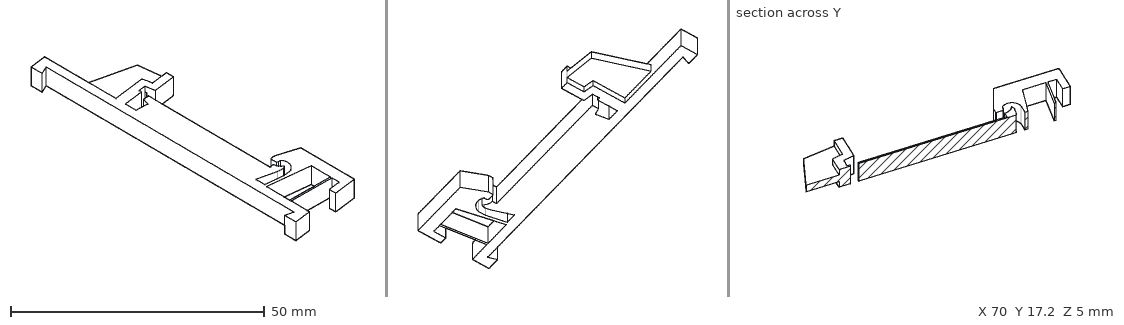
import cadquery as cq

length = 70.0
height = 17.2
thickness = 5.0

base_length = 69.8
base_bottom = 1.95
base_top = 4.05
foot_tip_width = 2.95
foot_root_width = 2.25

post_back = 18.75
post_root_front = 21.3
post_neck_front = 20.65
post_head_back = 21.15
post_head_front = 23.0
post_top = 16.45
post_shoulder_back = 11.8
post_head_back_bottom = 12.3
post_head_bottom = 11.0
post_neck_top = 10.6
web_thickness = 1.95
web_foot_x = 10.0
web_corner_x = 14.2
web_corner_y = 15.6

body_top = 8.9
undercut_root_x = 24.1
undercut_deep_x = 24.6
undercut_deep_y = 7.0
undercut_lip_y = 7.4
lip_start_x = 55.1
lip_start_y = 9.95
lip_middle = (56.35, 10.3)
lip_tip = (57.05, 11.05)
lip_back = (57.4, 10.3)
lip_neck_x = 57.1
slot_floor = 4.3
slot_floor_left = 55.45

arm_left = 57.8
arm_right = 58.45
arm_bend_x = 58.9
socket_side_y = 10.5
socket_arc_middle = (58.05, 11.8)
socket_left = 55.4
socket_left_top = 11.75
socket_left_bottom = 11.2
jaw_right = 55.1
jaw_bottom = 10.8
jaw_left = 53.55
jaw_chamfer = 0.15
jaw_slope_start_y = 12.0
head_top_left = 55.9
head_underside = 14.55
head_arm_right = 61.0
grip_left = 68.3
grip_bottom = 11.6
strip_bottom_left = 64.55
strip_top_left = 66.0
strip_width = 0.4


def extrude_centred(outline, depth):
    """Extrude a closed XY outline symmetrically about the mid-thickness plane."""
    return outline.extrude(depth / 2, both=True)


def plate(points, depth=thickness):
    return extrude_centred(cq.Workplane("XY").polyline(points).close(), depth)


def make_base():
    return plate([
        (0, 0),
        (foot_tip_width, 0),
        (foot_root_width, base_bottom),
        (base_length - foot_root_width, base_bottom),
        (base_length - foot_tip_width, 0),
        (base_length, 0),
        (base_length, base_top),
        (0, base_top),
    ])


def make_post():
    return plate([
        (post_back, base_bottom),
        (post_root_front, base_bottom),
        (post_root_front, body_top),
        (post_neck_front, body_top),
        (post_neck_front, post_neck_top),
        (post_head_front, post_head_bottom),
        (post_head_front, post_top),
        (post_head_back, post_top),
        (post_head_back, post_head_back_bottom),
        (post_back, post_shoulder_back),
    ])


def make_web():
    return plate([
        (web_foot_x, base_top),
        (web_corner_x, web_corner_y),
        (post_head_back, post_top),
        (post_head_back, post_neck_top),
        (post_neck_front, post_neck_top),
        (post_neck_front, base_top),
    ], web_thickness)


def make_body():
    outline = (
        cq.Workplane("XY")
        .moveTo(undercut_root_x, base_bottom)
        .lineTo(undercut_root_x, base_top)
        .lineTo(undercut_deep_x, undercut_deep_y)
        .lineTo(post_head_front, undercut_lip_y)
        .lineTo(post_head_front, body_top)
        .lineTo(lip_start_x, body_top)
        .lineTo(lip_start_x, lip_start_y)
        .threePointArc(lip_middle, lip_tip)
        .lineTo(*lip_back)
        .lineTo(lip_neck_x, body_top)
        .lineTo(slot_floor_left, slot_floor)
        .lineTo(arm_left, slot_floor)
        .lineTo(arm_left, base_bottom)
        .close()
    )
    return extrude_centred(outline, thickness)


def make_latch():
    outline = (
        cq.Workplane("XY")
        .moveTo(arm_left, base_bottom)
        .lineTo(arm_left, slot_floor)
        .lineTo(arm_bend_x, body_top)
        .lineTo(arm_bend_x, socket_side_y)
        .threePointArc(socket_arc_middle, (socket_left, socket_left_top))
        .lineTo(socket_left, socket_left_bottom)
        .lineTo(jaw_right, jaw_bottom)
        .lineTo(jaw_left + jaw_chamfer, jaw_bottom)
        .lineTo(jaw_left, jaw_bottom + jaw_chamfer)
        .lineTo(jaw_left, jaw_slope_start_y)
        .lineTo(head_top_left, height)
        .lineTo(length, height)
        .lineTo(length, grip_bottom)
        .lineTo(grip_left, grip_bottom)
        .lineTo(grip_left, head_underside)
        .lineTo(head_arm_right, head_underside)
        .lineTo(arm_right, base_top)
        .lineTo(arm_right, base_bottom)
        .close()
    )
    return extrude_centred(outline, thickness)


def make_strip():
    return plate([
        (strip_bottom_left, base_top),
        (strip_bottom_left + strip_width, base_top),
        (strip_top_left + strip_width, head_underside),
        (strip_top_left, head_underside),
    ])


result = (
    make_base()
    .union(make_post())
    .union(make_web())
    .union(make_body())
    .union(make_latch())
    .union(make_strip())
)